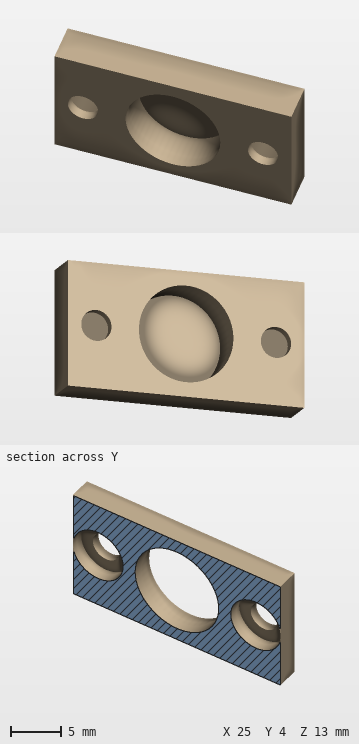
import cadquery as cq

length = 25
thickness = 4
height = 13

skin = 0.01

pocket_diameter = 10

pin_hole_diameter = 3.2
pin_hole_depth = 1
pin_hole_spacing = 19

end_wall = 0.005
chamber_diameter = length - pin_hole_spacing - 2 * end_wall

recess_depth = thickness - skin


def bore(x, diameter, start, end):
    """Cylinder along +Y between two depths measured from the -Y face."""
    start_plane = cq.Workplane("XZ", origin=(x, start - thickness / 2, 0))
    return start_plane.circle(diameter / 2).extrude(start - end)


block = cq.Workplane("XY").box(length, thickness, height)

result = block.cut(bore(0, pocket_diameter, 0, recess_depth))
for side in (-1, 1):
    hole_x = side * pin_hole_spacing / 2
    result = result.cut(bore(hole_x, pin_hole_diameter, 0, pin_hole_depth))
    result = result.cut(bore(hole_x, chamber_diameter, pin_hole_depth, recess_depth))